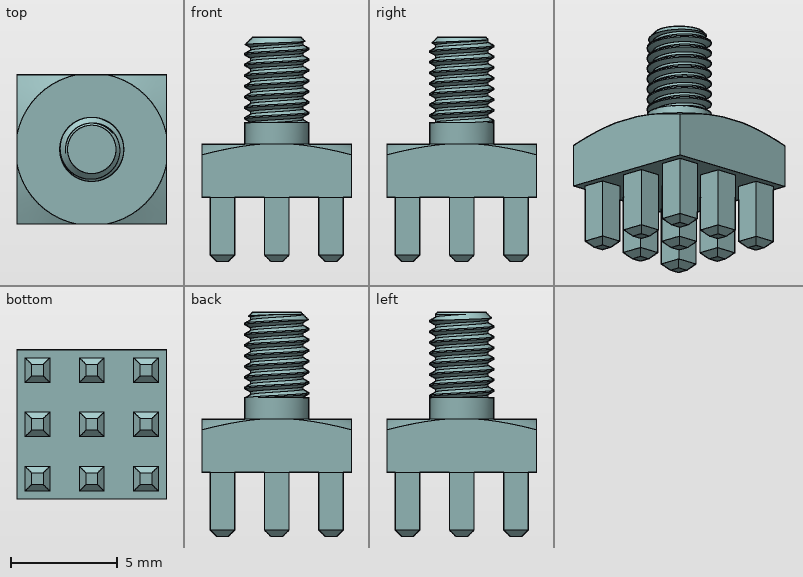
import cadquery as cq
import math

base_side = 7.0
base_height = 2.5
dome_flat_diameter = 7.13
dome_angle = 20.0

pins_per_side = 3
pin_spacing = 2.54
pin_width = 1.15
pin_length = 3.0
pin_chamfer = 0.3

stud_diameter = 3.0
collar_height = 1.0
total_height = 10.5
tip_chamfer = 0.37

collar_bottom = pin_length + base_height
thread_bottom = collar_bottom + collar_height
thread_length = total_height - thread_bottom

thread_turns = 8
pitch = thread_length / thread_turns
thread_depth = 5 / 8 * pitch * math.cos(math.radians(30))
root_flat = pitch / 4
flank_slope = math.tan(math.radians(30))
groove_overcut = 0.02
groove_end_drop = 0.03
groove_end_angle = 190.0


def make_base():
    """Square plate with its top corners trimmed by a shallow cone."""
    plate = cq.Workplane("XY").workplane(offset=pin_length).rect(base_side, base_side).extrude(base_height)
    flat_radius = dome_flat_diameter / 2
    rim_radius = base_side
    rim_drop = (rim_radius - flat_radius) * math.tan(math.radians(dome_angle))
    envelope = (
        cq.Workplane("XZ")
        .moveTo(0, 0)
        .lineTo(rim_radius, 0)
        .lineTo(rim_radius, collar_bottom - rim_drop)
        .lineTo(flat_radius, collar_bottom)
        .lineTo(0, collar_bottom)
        .close()
        .revolve(360, (0, 0), (0, 1))
    )
    return plate.intersect(envelope)


def make_pins():
    """Square grid of pins with chamfered lower ends."""
    return (
        cq.Workplane("XY")
        .rarray(pin_spacing, pin_spacing, pins_per_side, pins_per_side)
        .rect(pin_width, pin_width)
        .extrude(pin_length)
        .faces("<Z")
        .chamfer(pin_chamfer)
    )


def make_thread_groove():
    """Helical cutter that starts below the thread and ends at the stud tip."""
    stud_radius = stud_diameter / 2
    root_radius = stud_radius - thread_depth
    outer_radius = stud_radius + groove_overcut
    root_half = root_flat / 2
    outer_half = root_half + (outer_radius - root_radius) * flank_slope
    height = (thread_turns + 1) * pitch
    start = total_height - groove_end_drop - height

    path = cq.Workplane("XY").add(cq.Wire.makeHelix(pitch, height, root_radius))
    groove = (
        cq.Workplane("XZ")
        .moveTo(root_radius, -root_half)
        .lineTo(outer_radius, -outer_half)
        .lineTo(outer_radius, outer_half)
        .lineTo(root_radius, root_half)
        .close()
        .sweep(path, isFrenet=True)
    )
    return groove.rotate((0, 0, 0), (0, 0, 1), groove_end_angle).translate((0, 0, start))


def make_tip_envelope():
    """Oversize cylinder around the thread, chamfered at 45 degrees to form the stud tip."""
    clearance = tip_chamfer
    envelope_radius = stud_diameter / 2 + clearance
    return (
        cq.Workplane("XY")
        .workplane(offset=thread_bottom)
        .circle(envelope_radius)
        .extrude(thread_length)
        .faces(">Z")
        .chamfer(clearance + tip_chamfer)
    )


def make_stud():
    """Plain collar carrying the threaded length with its chamfered tip."""
    collar = cq.Workplane("XY").workplane(offset=collar_bottom).circle(stud_diameter / 2).extrude(collar_height)
    rod = (
        cq.Workplane("XY")
        .workplane(offset=thread_bottom)
        .transformed(rotate=(0, 0, 90))
        .circle(stud_diameter / 2)
        .extrude(thread_length)
    )
    thread = rod.cut(make_thread_groove()).intersect(make_tip_envelope())
    return collar.union(thread)


result = make_base().union(make_pins()).union(make_stud())